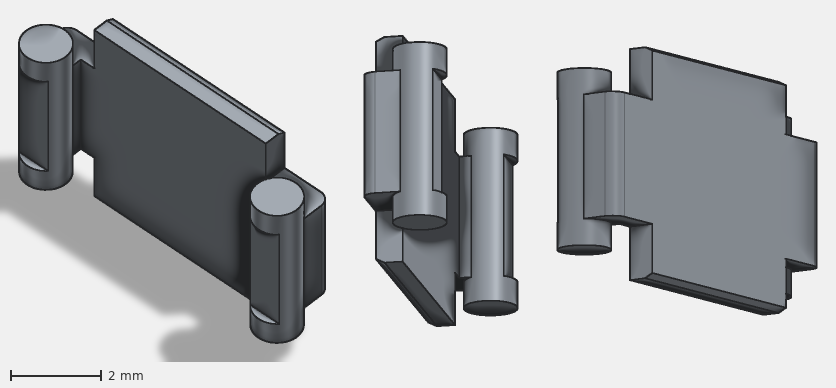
import cadquery as cq

total_width = 8.2
plate_size = 5.2
plate_thickness = 0.61

bevel_depth = 0.2
bevel_height = 0.1

pin_diameter = 1.2
pin_length = 3.985
flat_depth = 0.2

arm_height = 2.8
leg_width = 1.0
corner_radius = 0.3

pin_radius = pin_diameter / 2
pin_x = total_width / 2 - pin_radius
pin_y = -pin_radius
arm_half_width = pin_x + leg_width / 2


def make_plate():
    """Square plate with bevels along the top and bottom back edges."""
    half = plate_size / 2
    profile = [
        (0, -half),
        (plate_thickness - bevel_depth, -half),
        (plate_thickness, -half + bevel_height),
        (plate_thickness, half - bevel_height),
        (plate_thickness - bevel_depth, half),
        (0, half),
    ]
    return cq.Workplane("YZ").polyline(profile).close().extrude(half, both=True)


def make_arms():
    """Crossbar behind both pins, with a leg reaching forward into each pin."""
    bar = (
        cq.Workplane("XY")
        .box(2 * arm_half_width, plate_thickness, arm_height)
        .translate((0, plate_thickness / 2, 0))
    )
    leg_length = plate_thickness - pin_y
    legs = (
        cq.Workplane("XY")
        .pushPoints([(-pin_x, pin_y + leg_length / 2), (pin_x, pin_y + leg_length / 2)])
        .rect(leg_width, leg_length)
        .extrude(arm_height / 2, both=True)
    )
    return bar.union(legs).edges("|Z and >Y").fillet(corner_radius)


def make_pin(x):
    """Round pin with a flat on its front, level with the arm."""
    pin = cq.Workplane("XY").center(x, pin_y).circle(pin_radius).extrude(pin_length / 2, both=True)
    flat_y = pin_y - pin_radius + flat_depth
    flat_cut = (
        cq.Workplane("XY")
        .box(pin_diameter, pin_diameter, arm_height)
        .translate((x, flat_y - pin_diameter / 2, 0))
    )
    return pin.cut(flat_cut)


result = make_plate().union(make_arms())
for side in (-1, 1):
    result = result.union(make_pin(side * pin_x))